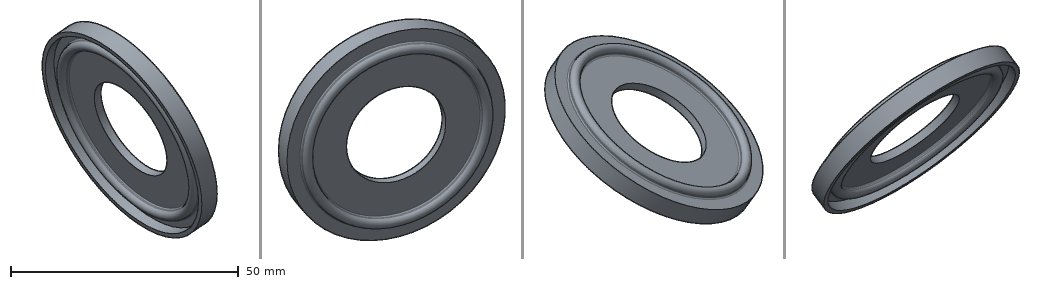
import cadquery as cq

outer_diameter = 52.7
lip_inner_diameter = 50.5
hole_diameter = 23.9
rim_width = 4.55
web_thickness = 2.0

bead_outer_diameter = 45.9
bead_inner_diameter = 41.1
bead_height = 1.85
foot_radius = 0.3

half_width = rim_width / 2
web_front = half_width - web_thickness
web_back = half_width
bead_radius = (bead_outer_diameter - bead_inner_diameter) / 4
bead_center_radius = (bead_outer_diameter + bead_inner_diameter) / 4


def ring(outer, inner, start, length):
    """Flat ring about the Y axis, growing toward +Y from start."""
    plane = cq.Plane(origin=(0, start, 0), xDir=(1, 0, 0), normal=(0, 1, 0))
    return cq.Workplane(plane).circle(outer / 2).circle(inner / 2).extrude(length)


def bead(face, direction):
    """Bead with concave foot fillets, rising from a web face along direction."""
    inner = bead_inner_diameter / 2
    outer = bead_outer_diameter / 2
    root = face - direction * web_thickness / 2
    foot_top = face + direction * foot_radius
    shoulder = face + direction * (bead_height - bead_radius)
    crest = face + direction * bead_height
    profile = (
        cq.Workplane("XY")
        .moveTo(inner - foot_radius, root)
        .lineTo(inner - foot_radius, face)
        .radiusArc((inner, foot_top), direction * -foot_radius)
        .lineTo(inner, shoulder)
        .threePointArc((bead_center_radius, crest), (outer, shoulder))
        .lineTo(outer, foot_top)
        .radiusArc((outer + foot_radius, face), direction * -foot_radius)
        .lineTo(outer + foot_radius, root)
        .close()
    )
    return profile.revolve(360, (0, 0, 0), (0, 1, 0))


web = ring(outer_diameter, hole_diameter, web_front, web_thickness)
lip = ring(outer_diameter, lip_inner_diameter, -half_width, rim_width)
front_bead = bead(web_front, -1)
back_bead = bead(web_back, 1)

result = web.union(lip).union(front_bead).union(back_bead)